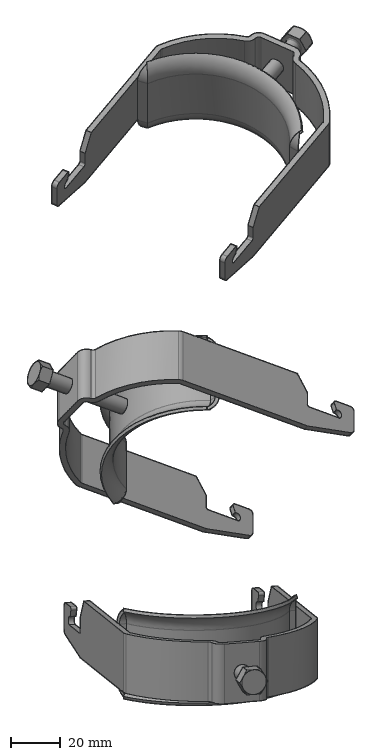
import cadquery as cq
import math


strap_width = 82.0
strap_half_width = strap_width / 2
strap_thickness = 2.5
strap_height = 24.9
bow_radius = 46.0
bow_center_y = 60.7
bump_foot_half_width = 11.7
bump_top_half_width = 11.0
bump_top_y = 110.1
outside_bend_radius = 4.2
inside_bend_radius = outside_bend_radius - strap_thickness

shoulder_start_y = 26.8
shoulder_end_z = 4.5
slot_back_y = 22.0
slot_floor_z = -2.4
slot_corner_radius = 1.0
eye_radius = 2.0
eye_center_y = 8.0
eye_center_z = -0.8
barb_throat_y = 8.3
barb_tip_y = 9.8
barb_corner_radius = 1.0
hook_top_z = 5.5
hook_corner_radius = 2.0
toe_z = -7.5

saddle_radius = 38.0
saddle_center_y = 44.7
saddle_thickness = 1.4
saddle_height = 37.9
flange_bend_radius = 8.1
flange_bend_angle = 65.0
saddle_half_angle = 62.0
lip_length = 4.4
lip_tilt = 9.0
lip_seam_length = 4.4

bolt_tip_y = saddle_center_y + saddle_radius + saddle_thickness
bolt_head_top_y = 126.3
bolt_head_thickness = 5.5
bolt_head_flats = 10.4
bolt_head_chamfer_angle = 30.0
under_head_radius = 0.4
shank_diameter = 6.7


def bow_y(x):
    """Y of the outer face of the curved back at a given X."""
    return bow_center_y + math.sqrt(bow_radius**2 - x**2)


def strap_envelope():
    """Filled plan outline of the strap with rounded bends; the open ends run past the leg tips."""
    open_end_y = -strap_thickness
    middle_x = (strap_half_width + bump_foot_half_width) / 2
    envelope = (
        cq.Workplane("XY", origin=(0, 0, -strap_height / 2))
        .moveTo(-strap_half_width, open_end_y)
        .lineTo(-strap_half_width, bow_y(strap_half_width))
        .threePointArc((-middle_x, bow_y(middle_x)), (-bump_foot_half_width, bow_y(bump_foot_half_width)))
        .lineTo(-bump_top_half_width, bump_top_y)
        .lineTo(bump_top_half_width, bump_top_y)
        .lineTo(bump_foot_half_width, bow_y(bump_foot_half_width))
        .threePointArc((middle_x, bow_y(middle_x)), (strap_half_width, bow_y(strap_half_width)))
        .lineTo(strap_half_width, open_end_y)
        .close()
        .extrude(strap_height)
    )
    bends = [
        (strap_half_width, bow_y(strap_half_width), outside_bend_radius),
        (bump_foot_half_width, bow_y(bump_foot_half_width), inside_bend_radius),
        (bump_top_half_width, bump_top_y, outside_bend_radius),
    ]
    for x, y, radius in bends:
        for corner_x in (-x, x):
            corner = cq.selectors.NearestToPointSelector((corner_x, y, 0))
            envelope = envelope.edges("|Z").edges(corner).fillet(radius)
    return envelope


def leg_side_blank():
    """Side outline of the legs with their hooks, as a block across the full width."""
    top_z = strap_height / 2
    eye_top_z = eye_center_z + eye_radius
    eye_floor_y = eye_center_y - math.sqrt(eye_radius**2 - (eye_center_z - slot_floor_z) ** 2)
    blank = (
        cq.Workplane("YZ", origin=(-strap_half_width, 0, 0))
        .moveTo(bump_top_y, -top_z)
        .lineTo(bump_top_y, top_z)
        .lineTo(shoulder_start_y, top_z)
        .lineTo(slot_back_y, shoulder_end_z)
        .lineTo(slot_back_y, slot_floor_z)
        .lineTo(eye_floor_y, slot_floor_z)
        .threePointArc((eye_center_y - eye_radius, eye_center_z), (eye_center_y, eye_top_z))
        .lineTo(barb_throat_y, eye_top_z)
        .lineTo(barb_tip_y, hook_top_z)
        .lineTo(0, hook_top_z)
        .lineTo(0, toe_z)
        .lineTo(slot_back_y, -top_z)
        .close()
        .extrude(strap_width)
    )
    roundings = [
        (slot_back_y, slot_floor_z, slot_corner_radius),
        (barb_tip_y, hook_top_z, barb_corner_radius),
        (0, hook_top_z, hook_corner_radius),
        (0, toe_z, hook_corner_radius),
    ]
    for y, z, radius in roundings:
        corner = cq.selectors.NearestToPointSelector((0, y, z))
        blank = blank.edges("|X").edges(corner).fillet(radius)
    return blank


def make_strap():
    envelope = strap_envelope()
    inner_outline = envelope.faces("<Z").wires().toPending().offset2D(-strap_thickness)
    inside = inner_outline.extrude(strap_height, combine=False)
    bolt_hole = cq.Workplane("XZ").circle(shank_diameter / 2).extrude(-bolt_head_top_y)
    return envelope.cut(inside).intersect(leg_side_blank()).cut(bolt_hole)


def channel_section(plane, start):
    """Web with both flanges curled outwards; local x is depth from the inner face, local y is Z."""
    bend = math.radians(flange_bend_angle)
    inner_radius = flange_bend_radius - saddle_thickness
    web_half_height = saddle_height / 2 - flange_bend_radius * math.sin(bend)

    def curl(radius, angle, side):
        depth = flange_bend_radius - radius * math.cos(angle)
        return (start + depth, side * (web_half_height + radius * math.sin(angle)))

    return (
        cq.Workplane(plane)
        .moveTo(*curl(flange_bend_radius, 0, -1))
        .lineTo(*curl(flange_bend_radius, 0, 1))
        .threePointArc(curl(flange_bend_radius, bend / 2, 1), curl(flange_bend_radius, bend, 1))
        .lineTo(*curl(inner_radius, bend, 1))
        .threePointArc(curl(inner_radius, bend / 2, 1), curl(inner_radius, 0, 1))
        .lineTo(*curl(inner_radius, 0, -1))
        .threePointArc(curl(inner_radius, bend / 2, -1), curl(inner_radius, bend, -1))
        .lineTo(*curl(flange_bend_radius, bend, -1))
        .threePointArc(curl(flange_bend_radius, bend / 2, -1), curl(flange_bend_radius, 0, -1))
        .close()
    )


def direction(angle):
    """Unit vector in the XY plane, in degrees from +X."""
    return cq.Vector(math.cos(math.radians(angle)), math.sin(math.radians(angle)), 0)


def plan_prism(points):
    """Upright prism over the full saddle height."""
    base = cq.Workplane("XY", origin=(0, 0, -saddle_height / 2))
    return base.polyline([(point.x, point.y) for point in points]).close().extrude(saddle_height)


def make_saddle():
    center = cq.Vector(0, saddle_center_y, 0)
    web_end_angle = 90 + saddle_half_angle
    lip_angle = 180 + lip_tilt
    seam_angle = (web_end_angle - 90 + lip_angle) / 2

    web_end = center + direction(web_end_angle) * saddle_radius
    seam_end = web_end + direction(seam_angle) * lip_seam_length
    lip_end = web_end + direction(lip_angle) * lip_length

    web_plane = cq.Plane(center, direction(web_end_angle), direction(web_end_angle - 90))
    saddle = channel_section(web_plane, saddle_radius).revolve(2 * saddle_half_angle, (0, 0), (0, -1))
    trim_reach = 2 * flange_bend_radius
    far_seam = web_end + direction(seam_angle) * trim_reach
    far_radial = web_end + direction(web_end_angle) * trim_reach
    trim = plan_prism([web_end, far_seam, far_radial])
    saddle = saddle.cut(trim).cut(trim.mirror("YZ"))

    lip_plane = cq.Plane(web_end, direction(lip_angle - 90), direction(lip_angle))
    lip = channel_section(lip_plane, 0).extrude(lip_length, both=True)
    lip = lip.intersect(plan_prism([web_end, seam_end, lip_end]))
    return saddle.union(lip).union(lip.mirror("YZ"))


def make_bolt():
    corner_diameter = bolt_head_flats / math.cos(math.pi / 6)
    head_top = cq.Workplane("XZ", origin=(0, bolt_head_top_y, 0))
    head = head_top.polygon(6, corner_diameter).extrude(bolt_head_thickness)
    chamfer_width = (corner_diameter - bolt_head_flats) / 2
    chamfer_depth = chamfer_width * math.tan(math.radians(bolt_head_chamfer_angle))
    chamfer_disc = (
        head_top.circle(corner_diameter / 2)
        .extrude(bolt_head_thickness)
        .faces(">Y")
        .chamfer(chamfer_depth, chamfer_width)
    )
    shank = head_top.circle(shank_diameter / 2).extrude(bolt_head_top_y - bolt_tip_y)
    bolt = head.intersect(chamfer_disc).union(shank)
    under_head = cq.selectors.NearestToPointSelector((0, bolt_head_top_y - bolt_head_thickness, 0))
    return bolt.edges("%CIRCLE").edges(under_head).fillet(under_head_radius)


strap = make_strap()
saddle = make_saddle()
bolt = make_bolt()
result = cq.Compound.makeCompound([strap.val(), saddle.val(), bolt.val()])